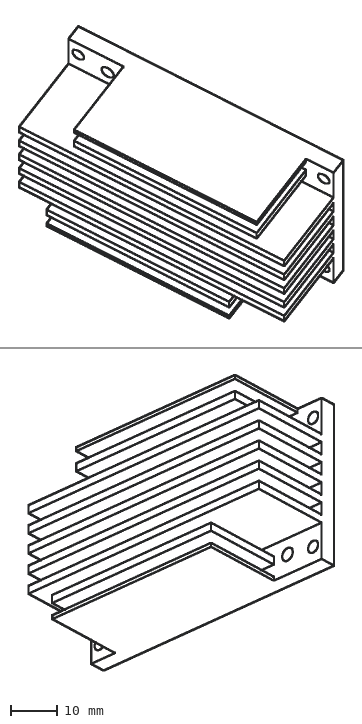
import cadquery as cq

width = 67.5
height = 40.0
base_thickness = 4.0
fin_length = 20.0

fin_thickness = 2.0
fin_pitch = 5.0
full_fin_steps = 2
edge_fin_steps = 4
short_fin_width = 46.5
short_fin_near_gap = 7.0
short_fin_shift = (width - short_fin_width) / 2 - short_fin_near_gap

corner_hole_diameter = 2.9
corner_hole_inset_x = 2.5
corner_hole_inset_z = 4.0
inner_hole_diameter = 3.1
inner_hole_inset_x = 10.0
inner_hole_inset_z = 5.0


def make_base():
    """Plate with its fin-side face on Y = 0, centred in X and Z."""
    return cq.Workplane("XY").box(width, base_thickness, height, centered=(True, False, True))


def make_fin(step):
    """Fin a number of pitches above (or below) the middle, trimmed to the plate height."""
    if abs(step) <= full_fin_steps:
        fin_width = width
        center_x = 0.0
    else:
        fin_width = short_fin_width
        center_x = short_fin_shift if step > 0 else -short_fin_shift
    center_z = step * fin_pitch
    bottom = max(center_z - fin_thickness / 2, -height / 2)
    top = min(center_z + fin_thickness / 2, height / 2)
    return (
        cq.Workplane("XY")
        .box(fin_width, fin_length, top - bottom, centered=(True, False, False))
        .translate((center_x, -fin_length, bottom))
    )


def make_holes(diameter, centers):
    """Cylinders along Y through the base plate at (x, z) centres."""
    return cq.Workplane("XZ").pushPoints(centers).circle(diameter / 2).extrude(-base_thickness)


corner_x = width / 2 - corner_hole_inset_x
corner_z = height / 2 - corner_hole_inset_z
corner_centers = [(sx * corner_x, sz * corner_z) for sx in (-1, 1) for sz in (-1, 1)]

inner_x = width / 2 - inner_hole_inset_x
inner_z = height / 2 - inner_hole_inset_z
inner_centers = [(-inner_x, inner_z), (inner_x, -inner_z)]

result = make_base()
for fin_step in range(-edge_fin_steps, edge_fin_steps + 1):
    result = result.union(make_fin(fin_step))
result = result.cut(make_holes(corner_hole_diameter, corner_centers))
result = result.cut(make_holes(inner_hole_diameter, inner_centers))